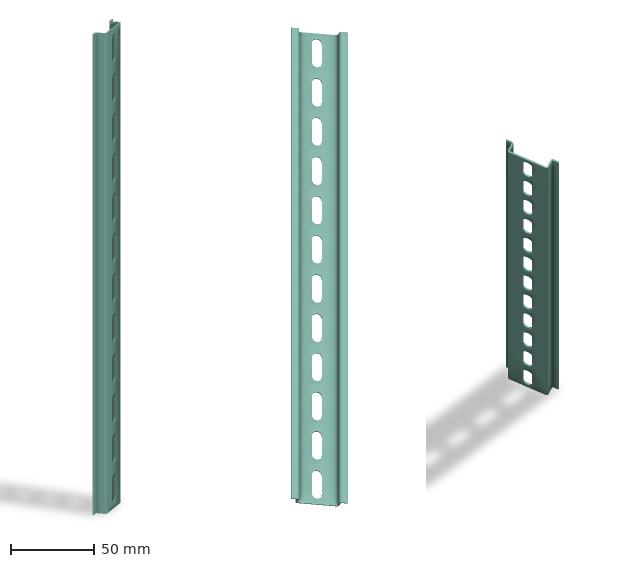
import cadquery as cq

length = 300.0
width = 35.0
depth = 7.5

thickness = 1.0
channel_width = 27.0
inner_bend_radius = 0.45
outer_bend_radius = inner_bend_radius + thickness

slot_count = 12
slot_pitch = length / slot_count
slot_length = 18.0
slot_width = 6.3


def make_rail():
    """Top-hat section with lips at -X and web at +X, extruded along Z."""
    lip_x = -depth / 2
    web_x = depth / 2
    lip_y = width / 2
    outer_y = channel_width / 2
    inner_y = outer_y - thickness

    half_outline = [
        (web_x, 0),
        (web_x, outer_y),
        (lip_x + thickness, outer_y),
        (lip_x + thickness, lip_y),
        (lip_x, lip_y),
        (lip_x, inner_y),
        (web_x - thickness, inner_y),
        (web_x - thickness, 0),
    ]
    rail = cq.Workplane("XY").polyline(half_outline).close().extrude(length)
    rail = rail.union(rail.mirror("XZ")).clean()

    for side in (-1, 1):
        outer_corners = [(web_x, side * outer_y), (lip_x, side * inner_y)]
        inner_corners = [(web_x - thickness, side * inner_y), (lip_x + thickness, side * outer_y)]
        for corners, radius in (
            (outer_corners, outer_bend_radius),
            (inner_corners, inner_bend_radius),
        ):
            for x, y in corners:
                edge = cq.selectors.NearestToPointSelector((x, y, length / 2))
                rail = rail.edges("|Z").edges(edge).fillet(radius)
    return rail


def make_slots():
    """Evenly spaced lengthwise slots, half a pitch from each end."""
    centers = [(0, (index + 0.5) * slot_pitch) for index in range(slot_count)]
    return (
        cq.Workplane("YZ")
        .pushPoints(centers)
        .slot2D(slot_length, slot_width, 90)
        .extrude(depth)
    )


result = make_rail().cut(make_slots())